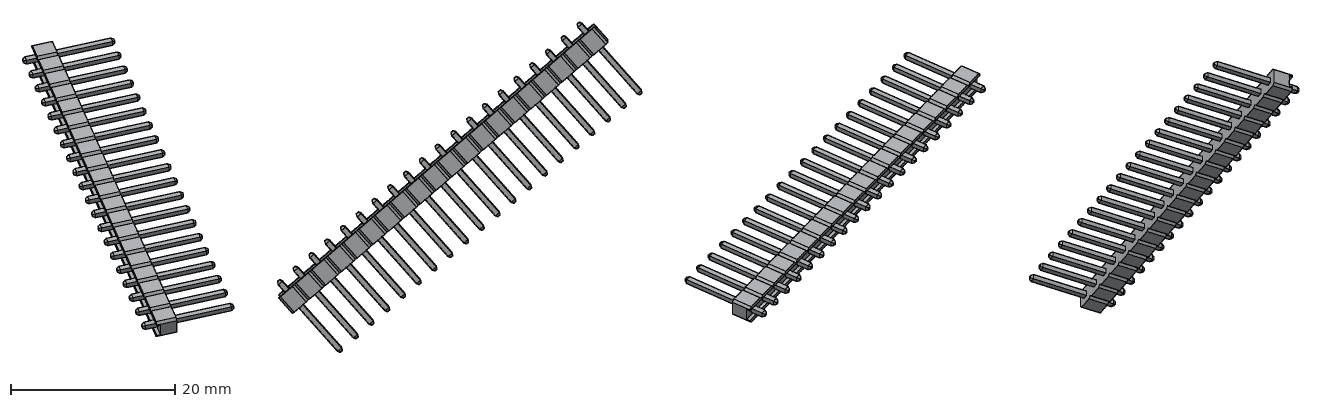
import cadquery as cq

pin_count = 20
pitch = 2.55
housing_length = pin_count * pitch
housing_depth = 2.55
housing_height = 2.55

notch_half_width = 0.3
notch_depth = 0.3

channel_depth = 0.45
channel_height = 1.6

pin_width = 0.65
tip_width = 0.35
tip_length = 0.325
contact_length = 7.55
tail_length = 1.45

tail_face_y = -housing_depth / 2
contact_face_y = housing_depth / 2
pin_start_y = tail_face_y - tail_length
pin_end_y = contact_face_y + contact_length


def along_y(outline, start_y, end_y):
    """Extrude a closed (x, z) outline between two Y positions."""
    plane = cq.Workplane("XZ", origin=(0, start_y, 0))
    return plane.polyline(outline).close().extrude(start_y - end_y)


def housing_outline():
    """Lower edge from left to right, then its mirror image back along the top."""
    bottom = -housing_height / 2
    lower_edge = []
    for index in range(pin_count):
        left = index * pitch - housing_length / 2
        right = left + pitch
        lower_edge.append((left, bottom + notch_depth))
        lower_edge.append((left + notch_half_width, bottom))
        lower_edge.append((right - notch_half_width, bottom))
    lower_edge.append((housing_length / 2, bottom + notch_depth))
    upper_edge = [(x, -z) for x, z in reversed(lower_edge)]
    return lower_edge + upper_edge


def make_housing():
    body = along_y(housing_outline(), tail_face_y, contact_face_y)
    channel = cq.Workplane("XY").box(housing_length, channel_depth, channel_height)
    return body.cut(channel.translate((0, tail_face_y + channel_depth / 2, 0)))


def make_tip(base_y, end_y):
    """Tapered pin end, from full width at base_y to tip_width at end_y."""
    return (
        cq.Workplane("XZ", origin=(0, base_y, 0))
        .rect(pin_width, pin_width)
        .workplane(offset=base_y - end_y)
        .rect(tip_width, tip_width)
        .loft(ruled=True)
    )


def make_pin():
    shaft_start_y = pin_start_y + tip_length
    shaft_end_y = pin_end_y - tip_length
    shaft = (
        cq.Workplane("XZ", origin=(0, shaft_start_y, 0))
        .rect(pin_width, pin_width)
        .extrude(shaft_start_y - shaft_end_y)
    )
    tail_tip = make_tip(shaft_start_y, pin_start_y)
    contact_tip = make_tip(shaft_end_y, pin_end_y)
    return shaft.union(tail_tip).union(contact_tip)


result = make_housing()
pin = make_pin()
for index in range(pin_count):
    pin_x = (index + 0.5) * pitch - housing_length / 2
    result = result.union(pin.translate((pin_x, 0, 0)))